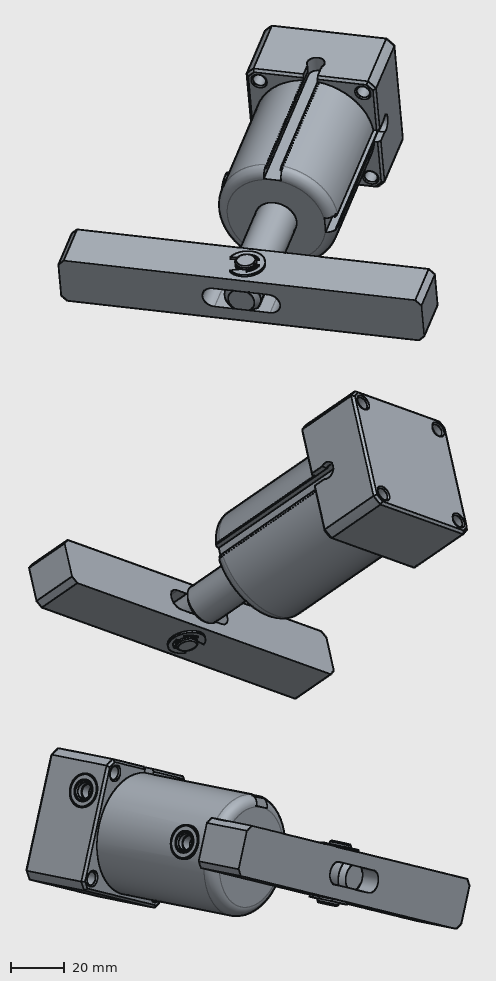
import cadquery as cq
import math

TILT_ANGLE = 15.2
TOTAL_LENGTH = 132.0

BLOCK_WIDTH = 50.0
BLOCK_LENGTH = 28.0
BLOCK_CORNER_RADIUS = 33.3
BLOCK_END_CHAMFER = 1.0
BARREL_RADIUS = 23.0
BARREL_LENGTH = 54.9
BARREL_END_FILLET = 4.0
BLOCK_FRONT_Y = TOTAL_LENGTH - BLOCK_LENGTH
BARREL_FRONT_Y = BLOCK_FRONT_Y - BARREL_LENGTH

MOUNT_HOLE_RADIUS = 2.5
MOUNT_HOLE_CHAMFER = 0.5
MOUNT_HOLE_OFFSET = 20.0

GROOVE_FLOOR = BARREL_RADIUS - BARREL_END_FILLET
GROOVE_MOUTH_WIDTH = 5.5
GROOVE_WIDTH = 6.6
GROOVE_UNDERCUT_HEIGHT = 3.4
GROOVE_END_Y = BLOCK_FRONT_Y + 8.1

RING_RADIUS = 6.5
RING_HOLE_RADIUS = 3.1
RING_HOLE_CHAMFER = 0.5
RING_THICKNESS = 2.8
RING_LAND_HEIGHT = 0.1
RING_LAND_OUTER_RADIUS = 6.0
RING_LAND_INNER_RADIUS = 4.2
PORT_PASSAGE_RADIUS = 2.8
PORT_PASSAGE_DEPTH = 4.2
BARREL_RING_PROUD = 0.1
BLOCK_PORT_Y = 113.0
BLOCK_PORT_Z = 11.3
BARREL_PORT_Y = 63.3
PORTS = [
    (-BLOCK_WIDTH / 2, BLOCK_PORT_Y, BLOCK_PORT_Z),
    (-BARREL_RADIUS - BARREL_RING_PROUD, BARREL_PORT_Y, 0.0),
]

BAR_LENGTH = 140.0
BAR_WIDTH = 19.0
BAR_END_CHAMFER = 2.2
SLOT_LENGTH = 30.0
SLOT_HEIGHT = 8.5

ROD_RADIUS = 8.0
TONGUE_RADIUS = 7.0
TONGUE_TIP_CHAMFER = 2.0
SHOULDER_GAP = 1.0
SHOULDER_CHAMFER = ROD_RADIUS - TONGUE_RADIUS
SHOULDER_Y = BAR_WIDTH + SHOULDER_GAP

PIN_RADIUS = 4.0
PIN_OVERHANG = 2.2
PIN_END_CHAMFER = 0.5
PIN_Y = BAR_WIDTH / 2
CLIP_RADIUS = 7.1
CLIP_THICKNESS = 0.8
CLIP_BOTTOMS = (BAR_WIDTH / 2, -BAR_WIDTH / 2 - CLIP_THICKNESS)
CLIP_SEAT_RADIUS = 3.5
CLIP_RELIEF_RADIUS = 5.2
CLIP_THROAT_WIDTH = 6.5
CLIP_MOUTH_WIDTH = 8.1
CLIP_TAB_HALF_ANGLE = 18.0
CLIP_PRONG_ANGLE = 88.0
CLIP_BACK_ANGLE = 15.0


def y_cylinder(radius, start_y, length):
    return cq.Workplane(cq.Solid.makeCylinder(radius, length, cq.Vector(0, start_y, 0), cq.Vector(0, 1, 0)))


def x_cylinder(radius, start_x, length, y, z):
    return cq.Workplane(cq.Solid.makeCylinder(radius, length, cq.Vector(start_x, y, z), cq.Vector(1, 0, 0)))


def z_cylinder(radius, start_z, length, y):
    return cq.Workplane(cq.Solid.makeCylinder(radius, length, cq.Vector(0, y, start_z)))


def sensor_groove():
    """Cutter for the groove on the top side: a T-shaped run that ends in a round opening."""
    run_length = GROOVE_END_Y - BARREL_FRONT_Y
    full_depth = BLOCK_WIDTH / 2 - GROOVE_FLOOR
    middle_y = (GROOVE_END_Y + BARREL_FRONT_Y) / 2
    floor = cq.Workplane("XY", origin=(0, middle_y, GROOVE_FLOOR))
    mouth = floor.rect(GROOVE_MOUTH_WIDTH, run_length).extrude(full_depth)
    undercut = floor.rect(GROOVE_WIDTH, run_length).extrude(GROOVE_UNDERCUT_HEIGHT)
    opening = z_cylinder(GROOVE_WIDTH / 2, GROOVE_FLOOR, full_depth, GROOVE_END_Y)
    return mouth.union(undercut).union(opening)


def mount_hole(x, z):
    """Cutter for a through hole with a countersunk edge at both faces of the block."""
    rim_radius = MOUNT_HOLE_RADIUS + MOUNT_HOLE_CHAMFER
    half_profile = [
        (0, BLOCK_FRONT_Y),
        (rim_radius, BLOCK_FRONT_Y),
        (MOUNT_HOLE_RADIUS, BLOCK_FRONT_Y + MOUNT_HOLE_CHAMFER),
        (MOUNT_HOLE_RADIUS, TOTAL_LENGTH - MOUNT_HOLE_CHAMFER),
        (rim_radius, TOTAL_LENGTH),
        (0, TOTAL_LENGTH),
    ]
    cutter = cq.Workplane("XY").polyline(half_profile).close().revolve(360, (0, 0), (0, 1))
    return cutter.translate((x, 0, z))


def port_cutter(face_x, y, z):
    """Seat of a port ring and the narrower air passage behind it."""
    seat = x_cylinder(RING_RADIUS, face_x, RING_THICKNESS, y, z)
    passage = x_cylinder(PORT_PASSAGE_RADIUS, face_x + RING_THICKNESS, PORT_PASSAGE_DEPTH, y, z)
    return seat.union(passage)


def make_housing():
    block = cq.Workplane("XY", origin=(0, BLOCK_FRONT_Y + BLOCK_LENGTH / 2, 0))
    block = block.box(BLOCK_WIDTH, BLOCK_LENGTH, BLOCK_WIDTH)
    block = block.intersect(y_cylinder(BLOCK_CORNER_RADIUS, BLOCK_FRONT_Y, BLOCK_LENGTH))
    block = block.faces("<Y or >Y").chamfer(BLOCK_END_CHAMFER)
    barrel = y_cylinder(BARREL_RADIUS, BARREL_FRONT_Y, BARREL_LENGTH)
    barrel = barrel.faces("<Y").edges().fillet(BARREL_END_FILLET)
    housing = block.union(barrel)

    top_groove = sensor_groove()
    side_groove = top_groove.rotate((0, 0, 0), (0, 1, 0), 90)
    housing = housing.cut(top_groove).cut(side_groove)

    for x in (-MOUNT_HOLE_OFFSET, MOUNT_HOLE_OFFSET):
        for z in (-MOUNT_HOLE_OFFSET, MOUNT_HOLE_OFFSET):
            housing = housing.cut(mount_hole(x, z))

    for port in PORTS:
        housing = housing.cut(port_cutter(*port))
    return housing


def make_port_ring(face_x, y, z):
    """Flat ring with a chamfered hole and a slightly raised annular land on its outer face."""
    ring = x_cylinder(RING_RADIUS, face_x, RING_THICKNESS, y, z)
    ring = ring.cut(x_cylinder(RING_HOLE_RADIUS, face_x, RING_THICKNESS, y, z))
    hole_edge = cq.selectors.RadiusNthSelector(0)
    ring = ring.faces("<X").edges(hole_edge).chamfer(RING_HOLE_CHAMFER)
    land_x = face_x - RING_LAND_HEIGHT
    land = x_cylinder(RING_LAND_OUTER_RADIUS, land_x, RING_LAND_HEIGHT, y, z)
    land = land.cut(x_cylinder(RING_LAND_INNER_RADIUS, land_x, RING_LAND_HEIGHT, y, z))
    return ring.union(land)


def make_cross_bar():
    bar = (
        cq.Workplane("XY")
        .box(BAR_LENGTH, BAR_WIDTH, BAR_WIDTH)
        .edges("|Y")
        .chamfer(BAR_END_CHAMFER)
        .translate((0, BAR_WIDTH / 2, 0))
    )
    slot = cq.Workplane("XZ").slot2D(SLOT_LENGTH, SLOT_HEIGHT).extrude(-BAR_WIDTH)
    return bar.cut(slot).cut(pin_blank())


def make_rod():
    shaft = y_cylinder(ROD_RADIUS, SHOULDER_Y, BARREL_FRONT_Y - SHOULDER_Y)
    shaft = shaft.faces("<Y").edges().chamfer(SHOULDER_CHAMFER)
    tongue = y_cylinder(TONGUE_RADIUS, 0, SHOULDER_Y)
    tongue = tongue.faces("<Y").edges().chamfer(TONGUE_TIP_CHAMFER)
    flats = cq.Workplane("XY").box(2 * TONGUE_RADIUS, 2 * SHOULDER_Y, SLOT_HEIGHT)
    return shaft.union(tongue.intersect(flats)).cut(pin_blank())


def pin_blank():
    """Plain cylinder of the pin, also the cutter for the holes that it fills."""
    half_length = BAR_WIDTH / 2 + PIN_OVERHANG
    return z_cylinder(PIN_RADIUS, -half_length, 2 * half_length, PIN_Y)


def make_pin():
    pin = pin_blank().faces("<Z or >Z").edges().chamfer(PIN_END_CHAMFER)
    for groove_z in CLIP_BOTTOMS:
        groove = z_cylinder(PIN_RADIUS, groove_z, CLIP_THICKNESS, PIN_Y)
        groove = groove.cut(z_cylinder(CLIP_SEAT_RADIUS, groove_z, CLIP_THICKNESS, PIN_Y))
        pin = pin.cut(groove)
    return pin


def clip_relief(start_angle, end_angle):
    """Pocket between the back tab and one prong, as a sector about the clip centre."""

    def rim_point(angle):
        turn = math.radians(angle)
        return (CLIP_RELIEF_RADIUS * math.cos(turn), CLIP_RELIEF_RADIUS * math.sin(turn))

    return (
        cq.Workplane("XY")
        .lineTo(*rim_point(start_angle))
        .threePointArc(rim_point((start_angle + end_angle) / 2), rim_point(end_angle))
        .close()
        .extrude(CLIP_THICKNESS)
    )


def make_clip(bottom_z):
    """E-clip seated by a back tab and two prongs, its mouth opposite the tab."""
    clip = cq.Workplane("XY").circle(CLIP_RADIUS).circle(CLIP_SEAT_RADIUS).extrude(CLIP_THICKNESS)
    clip = clip.cut(clip_relief(CLIP_TAB_HALF_ANGLE, CLIP_PRONG_ANGLE))
    clip = clip.cut(clip_relief(-CLIP_PRONG_ANGLE, -CLIP_TAB_HALF_ANGLE))
    mouth_outline = [
        (0, CLIP_THROAT_WIDTH / 2),
        (-CLIP_RADIUS, CLIP_MOUTH_WIDTH / 2),
        (-CLIP_RADIUS, -CLIP_MOUTH_WIDTH / 2),
        (0, -CLIP_THROAT_WIDTH / 2),
    ]
    clip = clip.cut(cq.Workplane("XY").polyline(mouth_outline).close().extrude(CLIP_THICKNESS))
    return clip.rotate((0, 0, 0), (0, 0, 1), CLIP_BACK_ANGLE).translate((0, PIN_Y, bottom_z))


housing = make_housing()
rod = make_rod()
cross_bar = make_cross_bar()
pin = make_pin()
port_rings = [make_port_ring(*port) for port in PORTS]
clips = [make_clip(z) for z in CLIP_BOTTOMS]

bodies = [housing, rod, cross_bar, pin, *port_rings, *clips]
result = cq.Compound.makeCompound([body.rotate((0, 0, 0), (1, 0, 0), TILT_ANGLE).val() for body in bodies])